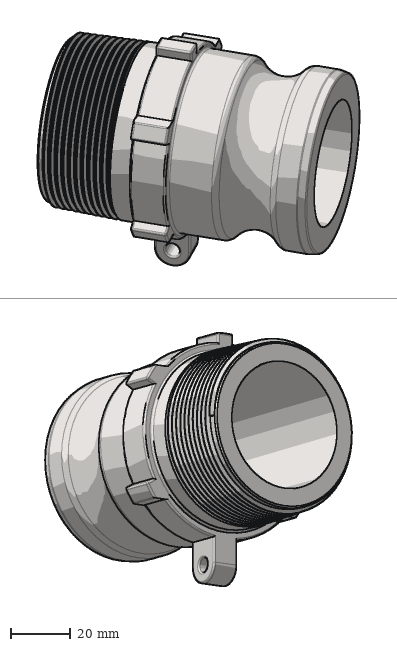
import math

import cadquery as cq

TOTAL_LENGTH = 95.5
BORE_DIAMETER = 43.5

CORE_RADIUS = 28.4
TAPER_SLOPE = 1 / 32
CORE_CHAMFER = 0.6
TEN_PITCHES = 23.1
THREAD_START = 1.7
THREAD_TURNS = 10.6
THREAD_HEIGHT = 1.3
THREAD_ROOT_GAP = 0.06
THREAD_CREST_WIDTH = 0.3
THREAD_EMBED = 0.3

COLLAR_START = 26.4
COLLAR_RADIUS = 60.9 / 2

FLANGE_START = 34.1
FLANGE_WIDTH = 12.6
FLANGE_RADIUS = 33.7
FLANGE_ROUND = 0.7
FLANGE_ROOT_FILLET = 0.9
LUG_TIP_RADIUS = 37.15
TOP_LUG_WIDTH = 6.3
SIDE_LUG_HEIGHT = 22.8
SIDE_LUG_ANGLE = 28.7
TAB_THICKNESS = 9.7
EYELET_DEPTH = 41.9
EYELET_DIAMETER = 5.1
EYELET_ROUND = 0.6

BODY_RADIUS = 63.1 / 2
GROOVE_CENTER = 73.6
GROOVE_FLOOR_RADIUS = 26.3
GROOVE_ARC = 11.65
GROOVE_LIP_ARC = 3.1
NOSE_TAPER_START = 92.35
NOSE_END_RADIUS = 30.9
NOSE_SHOULDER_ROUND = 1.9
NOSE_EDGE_ROUND = 0.6

TOLERANCE = 0.01

THREAD_PITCH = TEN_PITCHES / 10
THREAD_BASE_WIDTH = THREAD_PITCH - THREAD_ROOT_GAP
FLANGE_END = FLANGE_START + FLANGE_WIDTH
FLANGE_CENTER = FLANGE_START + FLANGE_WIDTH / 2
TAB_RADIUS = FLANGE_WIDTH / 2


def disc(start, length, radius):
    """Cylinder on the part axis."""
    return cq.Workplane("YZ", origin=(start, 0, 0)).circle(radius).extrude(length)


def make_core():
    """Tapered root cone of the thread, ending at the collar."""
    profile = (
        cq.Workplane("XY")
        .lineTo(0, CORE_RADIUS)
        .lineTo(COLLAR_START, CORE_RADIUS + TAPER_SLOPE * COLLAR_START)
        .lineTo(COLLAR_START, 0)
        .close()
    )
    core = profile.revolve(360, (0, 0, 0), (1, 0, 0))
    return core.faces("<X").chamfer(CORE_CHAMFER)


def make_thread():
    """Right-handed helical ridge that follows the taper of the core."""
    start_radius = CORE_RADIUS + TAPER_SLOPE * THREAD_START
    taper_angle = math.degrees(math.atan(TAPER_SLOPE))
    helix = cq.Wire.makeHelix(
        THREAD_PITCH, THREAD_TURNS * THREAD_PITCH, start_radius, angle=taper_angle
    )
    base = start_radius - THREAD_EMBED
    crest = start_radius + THREAD_HEIGHT
    ridge = (
        cq.Workplane("XZ")
        .moveTo(base, -THREAD_BASE_WIDTH / 2)
        .lineTo(crest, -THREAD_CREST_WIDTH / 2)
        .lineTo(crest, THREAD_CREST_WIDTH / 2)
        .lineTo(base, THREAD_BASE_WIDTH / 2)
        .close()
        .sweep(cq.Workplane(helix), isFrenet=True)
    )
    ridge = ridge.rotate((0, 0, 0), (0, 0, 1), 180)
    ridge = ridge.rotate((0, 0, 0), (0, 1, 0), 90)
    return ridge.translate((THREAD_START, 0, 0))


def make_collar():
    """Plain cylinder reaching from the thread into the flange."""
    return disc(COLLAR_START, FLANGE_CENTER - COLLAR_START, COLLAR_RADIUS)


def make_body():
    """Adapter end: cylinder, cam groove with rounded lips and tapered nose."""
    center_distance = GROOVE_ARC + GROOVE_LIP_ARC
    groove_center_radius = GROOVE_FLOOR_RADIUS + GROOVE_ARC
    lip_center_radius = BODY_RADIUS - GROOVE_LIP_ARC
    half_width = math.sqrt(center_distance**2 - (groove_center_radius - lip_center_radius) ** 2)
    join_angle = math.asin(half_width / center_distance)

    join_offset = GROOVE_ARC * math.sin(join_angle)
    join_radius = groove_center_radius - GROOVE_ARC * math.cos(join_angle)
    lip_mid_offset = half_width - GROOVE_LIP_ARC * math.sin(join_angle / 2)
    lip_mid_radius = lip_center_radius + GROOVE_LIP_ARC * math.cos(join_angle / 2)

    profile = (
        cq.Workplane("XY")
        .moveTo(FLANGE_CENTER, 0)
        .lineTo(FLANGE_CENTER, BODY_RADIUS)
        .lineTo(GROOVE_CENTER - half_width, BODY_RADIUS)
        .threePointArc(
            (GROOVE_CENTER - lip_mid_offset, lip_mid_radius),
            (GROOVE_CENTER - join_offset, join_radius),
        )
        .threePointArc(
            (GROOVE_CENTER, GROOVE_FLOOR_RADIUS),
            (GROOVE_CENTER + join_offset, join_radius),
        )
        .threePointArc(
            (GROOVE_CENTER + lip_mid_offset, lip_mid_radius),
            (GROOVE_CENTER + half_width, BODY_RADIUS),
        )
        .lineTo(NOSE_TAPER_START, BODY_RADIUS)
        .lineTo(TOTAL_LENGTH, NOSE_END_RADIUS)
        .lineTo(TOTAL_LENGTH, 0)
        .close()
    )
    body = profile.revolve(360, (0, 0, 0), (1, 0, 0))
    shoulder = [
        edge
        for edge in body.edges("%CIRCLE").vals()
        if abs(edge.Center().x - NOSE_TAPER_START) < TOLERANCE
    ]
    body = body.newObject(shoulder).fillet(NOSE_SHOULDER_ROUND)
    return body.faces(">X").edges().fillet(NOSE_EDGE_ROUND)


def prism(points):
    """Straight prism across the flange width from a list of (Y, Z) points."""
    return cq.Workplane("YZ", origin=(FLANGE_START, 0, 0)).polyline(points).close().extrude(FLANGE_WIDTH)


def make_lugs():
    """One straight lug on top and four side lugs, all ending on the tip radius."""
    half_width = TOP_LUG_WIDTH / 2
    reach = LUG_TIP_RADIUS + 1
    lugs = prism([(-half_width, 0), (half_width, 0), (half_width, reach), (-half_width, reach)])

    radial_slope = math.tan(math.radians(SIDE_LUG_ANGLE))
    inner_y = FLANGE_RADIUS / 2
    for side in (-1, 1):
        for level in (-1, 1):
            lug = prism(
                [
                    (side * inner_y, level * inner_y * radial_slope),
                    (side * reach, level * reach * radial_slope),
                    (side * reach, level * SIDE_LUG_HEIGHT),
                    (side * inner_y, level * SIDE_LUG_HEIGHT),
                ]
            )
            lugs = lugs.union(lug)
    return lugs.intersect(disc(FLANGE_START, FLANGE_WIDTH, LUG_TIP_RADIUS))


def make_tab():
    """Hanging tab with a half-round end, centered on the XZ plane."""
    return (
        cq.Workplane("XZ")
        .moveTo(FLANGE_START, 0)
        .lineTo(FLANGE_START, -EYELET_DEPTH)
        .threePointArc((FLANGE_CENTER, -EYELET_DEPTH - TAB_RADIUS), (FLANGE_END, -EYELET_DEPTH))
        .lineTo(FLANGE_END, 0)
        .close()
        .extrude(TAB_THICKNESS / 2, both=True)
    )


def is_outer_edge(edge):
    """True for the exposed flange edges, false for lug roots and the tab's tangent lines."""
    center = edge.Center()
    box = edge.BoundingBox()
    runs_along_x = box.ylen < TOLERANCE and box.zlen < TOLERANCE
    runs_along_y = box.xlen < TOLERANCE and box.zlen < TOLERANCE
    middle_radius = (FLANGE_RADIUS + LUG_TIP_RADIUS) / 2
    if runs_along_x:
        return math.hypot(center.y, center.z) > middle_radius
    return not runs_along_y


def make_flange():
    """Flange ring with rounded lugs and the drilled eyelet tab."""
    flange = disc(FLANGE_START, FLANGE_WIDTH, FLANGE_RADIUS).union(make_lugs()).union(make_tab())
    outer_edges = [edge for edge in flange.edges().vals() if is_outer_edge(edge)]
    flange = flange.newObject(outer_edges).fillet(FLANGE_ROUND)

    eyelet = (
        cq.Workplane("XZ", origin=(FLANGE_CENTER, 0, -EYELET_DEPTH))
        .circle(EYELET_DIAMETER / 2)
        .extrude(TAB_THICKNESS, both=True)
    )
    flange = flange.cut(eyelet)
    rim = [
        edge
        for edge in flange.edges("%CIRCLE").vals()
        if abs(edge.radius() - EYELET_DIAMETER / 2) < TOLERANCE
    ]
    return flange.newObject(rim).fillet(EYELET_ROUND)


def is_flange_root(edge):
    """True for the circles where the collar and the body meet the flange faces."""
    box = edge.BoundingBox()
    at_face = min(abs(box.xmin - FLANGE_START), abs(box.xmin - FLANGE_END)) < TOLERANCE
    if edge.geomType() != "CIRCLE" or not at_face:
        return False
    return abs(edge.radius() - FLANGE_RADIUS) > FLANGE_ROUND + TOLERANCE


fitting = make_collar().union(make_body()).union(make_flange())
root_edges = [edge for edge in fitting.edges().vals() if is_flange_root(edge)]
fitting = fitting.newObject(root_edges).fillet(FLANGE_ROOT_FILLET)
bore = disc(0, TOTAL_LENGTH, BORE_DIAMETER / 2)
threaded_end = make_core().union(make_collar()).union(make_thread())
threaded_end = threaded_end.rotate((0, 0, 0), (1, 0, 0), -90)
pierced = threaded_end.union(fitting).cut(bore)
result = cq.Workplane(pierced.solids().val())